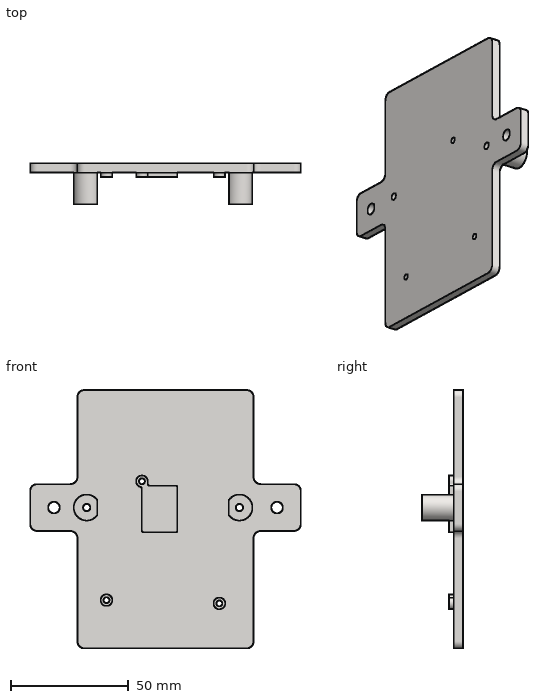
import cadquery as cq

overall_width = 115.2
body_width = 75.0
body_height = 110.0
plate_thickness = 4.0
tab_height = 20.0
tab_z = 5.0
corner_radius = 3.0
tab_hole_diameter = 4.8
tab_hole_x = 47.5

post_diameter = 11.1
post_length = 13.5
post_flat_offset = 4.5
post_hole_diameter = 3.0
post_spacing = 65.0
post_pair_x = -1.0

boss_diameter = 5.0
boss_hole_diameter = 2.4
raised_height = 2.0
upper_boss = (-10.0, 16.1)
lower_bosses = [(-25.1, -34.5), (22.9, -35.8)]
pad_width = 15.1
pad_height = 19.9
pad_top_z = 14.3
pad_radius = 0.8

front = cq.Workplane("XZ")


def through_holes(points, diameter):
    """Cutters that run through the plate and everything standing on it."""
    cutter_length = plate_thickness + post_length
    return (
        front.workplane(offset=-plate_thickness)
        .pushPoints(points)
        .circle(diameter / 2)
        .extrude(cutter_length)
    )


def make_plate():
    body = front.rect(body_width, body_height).extrude(-plate_thickness)
    tabs = front.center(0, tab_z).rect(overall_width, tab_height).extrude(-plate_thickness)
    return body.union(tabs).edges("|Y").fillet(corner_radius)


def make_post(x, flat_side):
    """Post at x; flat_side is +1 or -1 for a flat toward +X or -X."""
    post = front.center(x, tab_z).circle(post_diameter / 2).extrude(post_length)
    kept_width = post_flat_offset + post_diameter / 2
    kept_x = x + flat_side * (post_flat_offset - kept_width / 2)
    kept = front.center(kept_x, tab_z).rect(kept_width, post_diameter).extrude(post_length)
    return post.intersect(kept)


def make_pad():
    """Pad whose left edge meets the upper boss, blended at the inner corners."""
    boss_x, boss_z = upper_boss
    boss_radius = boss_diameter / 2
    pad_right = boss_x + pad_width
    pad_bottom = pad_top_z - pad_height
    return (
        front.moveTo(boss_x + boss_radius, boss_z)
        .threePointArc((boss_x - boss_radius, boss_z), (boss_x, boss_z - boss_radius))
        .lineTo(boss_x, pad_bottom)
        .lineTo(pad_right, pad_bottom)
        .lineTo(pad_right, pad_top_z)
        .lineTo(boss_x + boss_radius, pad_top_z)
        .close()
        .extrude(raised_height)
        .edges("|Y")
        .edges(cq.selectors.BoxSelector(
            (boss_x - boss_radius, -raised_height, pad_bottom - pad_radius),
            (pad_right + pad_radius, 0, boss_z - pad_radius),
        ))
        .fillet(pad_radius)
    )


left_post_x = post_pair_x - post_spacing / 2
right_post_x = post_pair_x + post_spacing / 2

result = make_plate()
result = result.union(make_post(left_post_x, 1))
result = result.union(make_post(right_post_x, -1))
result = result.union(make_pad())
result = result.union(front.pushPoints(lower_bosses).circle(boss_diameter / 2).extrude(raised_height))

tab_hole_points = [(-tab_hole_x, tab_z), (tab_hole_x, tab_z)]
post_hole_points = [(left_post_x, tab_z), (right_post_x, tab_z)]
result = result.cut(through_holes(tab_hole_points, tab_hole_diameter))
result = result.cut(through_holes(post_hole_points, post_hole_diameter))
result = result.cut(through_holes([upper_boss] + lower_bosses, boss_hole_diameter))